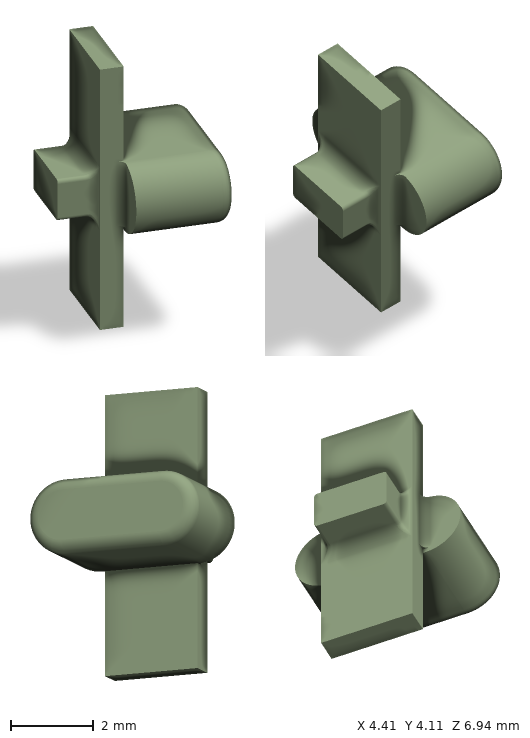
import cadquery as cq

plate_width = 2.43
plate_height = 6.94
plate_depth = 0.605
plate_x = -0.015
plate_z = -0.04

body_width = 4.41
body_height = 1.84
body_depth = 2.5
body_edge_radius = 0.3

post_width = 1.935
post_height = 1.09
post_length = 1.0
post_x = 0.015
post_z = -0.03
post_corner_radius = 0.1
flare_radius = 0.3
right_flare_radius = 0.2

side_fillet_radius = 0.2
right_fillet_shortfall = 0.12

plate_front = -plate_depth
post_front = plate_front - post_length


def box(width, height, y_start, y_end, x=0, z=0):
    """Box centred on x and z, spanning y_start to y_end."""
    return cq.Workplane("XY").box(width, y_end - y_start, height).translate((x, (y_start + y_end) / 2, z))


def make_body():
    """Stadium-shaped block with a rounded back rim."""
    return (
        cq.Workplane("XZ")
        .slot2D(body_width, body_height)
        .extrude(-body_depth)
        .faces(">Y")
        .edges()
        .fillet(body_edge_radius)
    )


def flared_profile(plane, width, right_radius=flare_radius):
    """Post profile on the given plane, flaring out onto the plate front."""
    half = width / 2
    bend = flare_radius * (1 - 0.5**0.5)
    right_bend = right_radius * (1 - 0.5**0.5)
    return (
        cq.Workplane(plane)
        .moveTo(-half, post_front)
        .lineTo(half, post_front)
        .lineTo(half, plate_front - right_radius)
        .threePointArc((half + right_bend, plate_front - right_bend), (half + right_radius, plate_front))
        .lineTo(-half - flare_radius, plate_front)
        .threePointArc((-half - bend, plate_front - bend), (-half, plate_front - flare_radius))
        .close()
    )


def make_post():
    """Rectangular post with mitred flares, trimmed to the plate width."""
    along_x = flared_profile("XY", post_width, right_flare_radius).extrude(plate_height / 2, both=True)
    along_z = flared_profile("ZY", post_height).extrude(plate_height / 2, both=True)
    straight_edges = cq.selectors.BoxSelector(
        (-post_width, post_front - 0.07, -post_height),
        (post_width, plate_front - flare_radius, post_height),
    )
    post = along_x.intersect(along_z).edges("|Y").edges(straight_edges).fillet(post_corner_radius)
    trim = box(plate_width, plate_height, post_front, plate_front, plate_x, plate_z)
    return post.translate((post_x, 0, post_z)).intersect(trim)


def make_side_fillet(side, shortfall):
    """Concave fillet beside the plate; the lower end stops short of the body underside."""
    edge_x = plate_x + side * plate_width / 2
    outer_x = edge_x + side * side_fillet_radius
    bend = side_fillet_radius * (1 - 0.5**0.5)
    strip = (
        cq.Workplane("XY", origin=(0, 0, shortfall - body_height / 2))
        .moveTo(edge_x, 0)
        .lineTo(outer_x, 0)
        .threePointArc((edge_x + side * bend, -bend), (edge_x, -side_fillet_radius))
        .close()
        .extrude(body_height - shortfall)
    )
    outline = cq.Workplane("XZ").slot2D(body_width, body_height).extrude(side_fillet_radius)
    return strip.intersect(outline)


plate = box(plate_width, plate_height, plate_front, 0, plate_x, plate_z)
left_fillet = make_side_fillet(-1, 0)
right_fillet = make_side_fillet(1, right_fillet_shortfall)

result = plate.union(make_body()).union(make_post()).union(left_fillet).union(right_fillet)